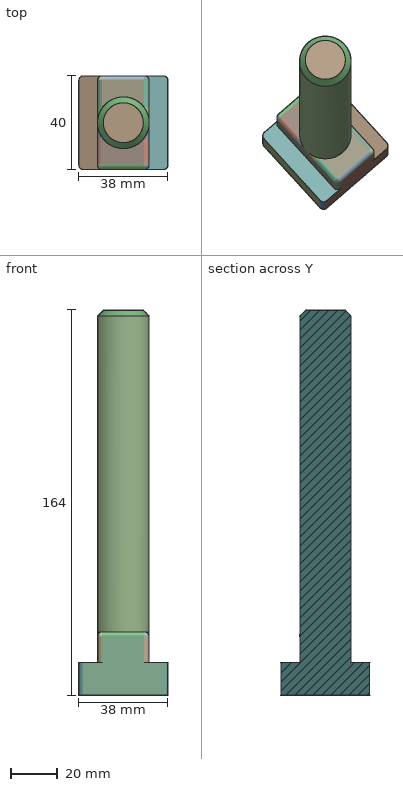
import math

import cadquery as cq

foot_width = 38.0
head_length = 40.0
foot_height = 14.0
neck_width = 22.0
neck_top = 27.0
total_height = 164.0
stud_diameter = 22.0
stud_chamfer = 2.5
edge_radius = 2.0

stud_radius = stud_diameter / 2
neck_side = neck_width / 2
fillet_inner = neck_side - edge_radius
runout_start = math.sqrt(stud_radius**2 - fillet_inner**2)
runout_steps = 4


def make_foot():
    """Wide foot of the T-head with rounded vertical corners."""
    foot = cq.Workplane("XY").box(foot_width, head_length, foot_height, centered=(True, True, False))
    return foot.edges("|Z").fillet(edge_radius)


def make_neck():
    """Narrow upper step of the T-head, rounded on its corners and top rim."""
    neck = cq.Workplane("XY").box(neck_width, head_length, neck_top, centered=(True, True, False))
    return neck.edges("|Z or >Z").fillet(edge_radius)


def make_stud():
    """Round stud rising through the neck, chamfered at its tip."""
    stud = cq.Workplane("XY").workplane(offset=foot_height).circle(stud_radius)
    stud = stud.extrude(total_height - foot_height)
    return stud.faces(">Z").chamfer(stud_chamfer)


def fillet_center_height(y):
    """Z of the fillet center when its arc passes through the stud's foot circle at y."""
    gap = neck_side - math.sqrt(stud_radius**2 - y**2)
    return neck_top - math.sqrt(edge_radius**2 - (edge_radius - gap) ** 2)


def runout_section(y):
    """Cross-section of the run-out at y: an upright strip with a quarter-round top."""
    center_z = fillet_center_height(y)
    diagonal = edge_radius * math.sqrt(0.5)
    section = (
        cq.Workplane("XZ", origin=(0, y, 0))
        .moveTo(fillet_inner, foot_height)
        .lineTo(neck_side, foot_height)
        .lineTo(neck_side, center_z)
        .threePointArc(
            (fillet_inner + diagonal, center_z + diagonal),
            (fillet_inner, center_z + edge_radius),
        )
        .close()
    )
    return section.val()


def make_runout():
    """Stretch where the rim fillet rises along the stud and fades out on the neck's side."""
    sections = [runout_section(runout_start * step / runout_steps) for step in range(runout_steps + 1)]
    return cq.Workplane(cq.Solid.makeLoft(sections))


result = make_foot().union(make_neck()).union(make_stud())

runout = make_runout()
runout_pair = runout.union(runout.mirror("XZ"))
result = result.union(runout_pair).union(runout_pair.mirror("YZ"))